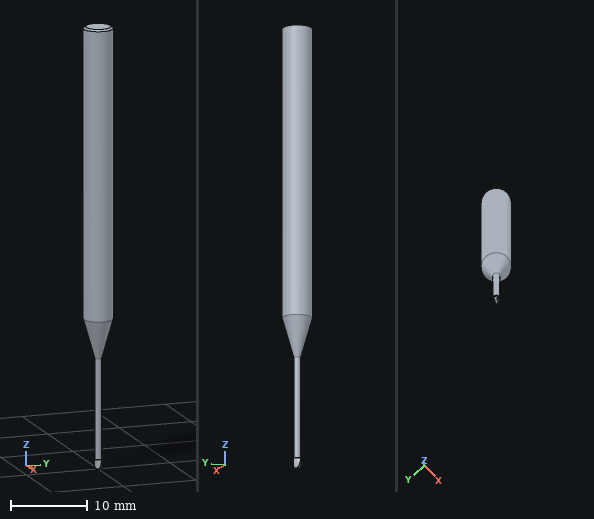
import cadquery as cq

TOOL_LENGTH = 60.0
SHANK_DIAMETER = 4.0
NECK_DIAMETER = 0.95
CUTTER_DIAMETER = 1.0

CUTTER_LENGTH = 1.3
NECK_TOP = 15.0
TAPER_TOP = 20.4

BEVEL_WIDTH = 0.3
BEVEL_HEIGHT = 0.25

CORNER_RADIUS = 0.3

BLADE_THICKNESS = 0.4
BLADE_TWIST = 50.0
BLADE_START_ANGLE = 20.0


def make_holder():
    """Shank, taper and neck revolved as one solid."""
    shank_radius = SHANK_DIAMETER / 2
    neck_radius = NECK_DIAMETER / 2
    return (
        cq.Workplane("XZ")
        .moveTo(0, CUTTER_LENGTH)
        .lineTo(neck_radius, CUTTER_LENGTH)
        .lineTo(neck_radius, NECK_TOP)
        .lineTo(shank_radius, TAPER_TOP)
        .lineTo(shank_radius, TOOL_LENGTH - BEVEL_HEIGHT)
        .lineTo(shank_radius - BEVEL_WIDTH, TOOL_LENGTH)
        .lineTo(0, TOOL_LENGTH)
        .close()
        .revolve(360, (0, 0), (0, 1))
    )


def make_cutter_envelope():
    """Round bar with rounded corners at its lower end."""
    radius = CUTTER_DIAMETER / 2
    return (
        cq.Workplane("XZ")
        .moveTo(0, 0)
        .lineTo(radius - CORNER_RADIUS, 0)
        .radiusArc((radius, CORNER_RADIUS), -CORNER_RADIUS)
        .lineTo(radius, CUTTER_LENGTH)
        .lineTo(0, CUTTER_LENGTH)
        .close()
        .revolve(360, (0, 0), (0, 1))
    )


def make_cutter():
    """Two-edged twisted blade trimmed to the round-cornered envelope."""
    stock_width = 2 * CUTTER_DIAMETER
    blade = (
        cq.Workplane("XY")
        .rect(stock_width, BLADE_THICKNESS)
        .twistExtrude(CUTTER_LENGTH, BLADE_TWIST)
        .rotate((0, 0, 0), (0, 0, 1), BLADE_START_ANGLE)
    )
    return make_cutter_envelope().intersect(blade)


holder = make_holder()
cutter = make_cutter()

result = cq.Compound.makeCompound([holder.val(), cutter.solids().val()])